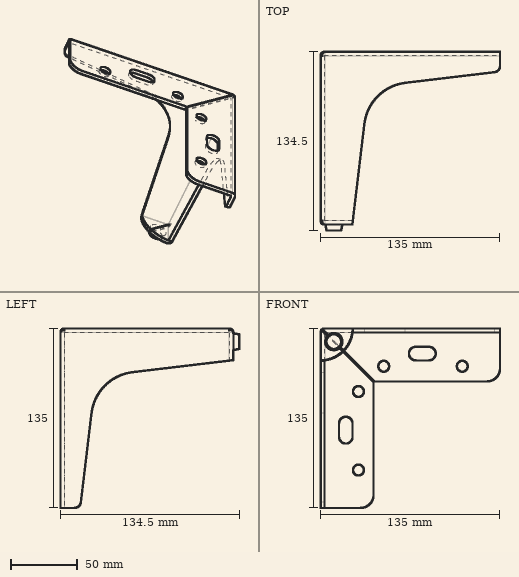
import cadquery as cq
import math

leg_length = 135.0
depth = 130.0
sheet = 3.0
bend_inside = 0.2
bend_outside = sheet + bend_inside

arm_end_width = 15.0
cap_radius = 24.0
arm_taper_angle = 6.8
arm_taper = math.tan(math.radians(arm_taper_angle))
arm_inner_radius = 35.0
arm_tip_radius = 5.0

flange_width = 40.0
flange_corner_radius = 10.0
screw_hole_diameter = 8.0
screw_hole_offset = 28.5
slot_length = 20.0
slot_width = 10.0
slot_middle = 76.5
slot_offset = 19.0
screw_hole_middle = 77.0
screw_hole_spacing = 59.0

mitre_gap = 0.5

button_center = 10.0
button_height = 4.5
button_base_diameter = 13.0
button_end_diameter = 11.0

MITRE_NORMAL = cq.Vector(1, 0, 1)


def on_both_legs(cutter):
    """Cutter of the top leg together with its mirror image on the side leg."""
    return cutter.add(cutter.mirror(MITRE_NORMAL)).combine()


def round_corner(body, x, y, z, radius):
    """Fillet the edge whose middle is nearest to the given point."""
    return body.edges(cq.selectors.NearestToPointSelector((x, y, z))).fillet(radius)


def corner_block(x_min, y_min, y_max, z_max, edge_radius):
    """Block reaching the leg ends, rounded where its left, top, front and back faces meet."""
    block = (
        cq.Workplane("XY", origin=(x_min, y_min, -leg_length))
        .box(leg_length - x_min, y_max - y_min, leg_length + z_max, centered=False)
    )
    left_edges = block.faces("<X").edges("not <Z")
    top_edges = block.faces(">Z").edges("not >X")
    return left_edges.add(top_edges).fillet(edge_radius)


def folded_sheet():
    """Top, side, back and front walls of one thickness, before trimming."""
    outside = corner_block(0, -depth, 0, 0, bend_outside)
    inside = corner_block(sheet, sheet - depth, -sheet, -sheet, bend_inside)
    return outside.cut(inside)


def arm_cutter():
    """Removes the top plate beyond its tapered, concave outline."""
    front_to_tip = depth - arm_end_width
    inner_x = (cap_radius + arm_taper * (front_to_tip - arm_taper * leg_length)) / (1 - arm_taper**2)
    inner_y = -arm_end_width - arm_taper * (leg_length - inner_x)
    cutter = (
        cq.Workplane("XY")
        .moveTo(cap_radius, -depth)
        .lineTo(inner_x, inner_y)
        .lineTo(leg_length, -arm_end_width)
        .lineTo(leg_length, -depth)
        .close()
        .extrude(-sheet)
    )
    return round_corner(cutter, inner_x, inner_y, -sheet / 2, arm_inner_radius)


def cap_cutter():
    """Removes the front wall outside the quarter-round cap, whose edge carries on the arm taper."""
    front = cq.Workplane("XZ", origin=(0, -depth, 0))
    wall = front.rect(2 * leg_length, 2 * leg_length).extrude(-bend_outside)
    cap = front.circle(cap_radius).extrude(-bend_outside, taper=-arm_taper_angle)
    return wall.cut(cap)


def back_cutter():
    """Removes the back wall inside the angle of the two flanges."""
    return (
        cq.Workplane("XZ")
        .moveTo(flange_width, -flange_width)
        .rect(leg_length, -leg_length, centered=False)
        .extrude(bend_outside)
    )


def flange_holes():
    """Two screw holes and a slot in the back flange of the top leg."""
    flange = cq.Workplane("XZ")
    half_spacing = screw_hole_spacing / 2
    hole_centers = [(screw_hole_middle + shift, -screw_hole_offset) for shift in (-half_spacing, half_spacing)]
    screw_holes = flange.pushPoints(hole_centers).circle(screw_hole_diameter / 2).extrude(sheet)
    slot = (
        flange.moveTo(slot_middle, -slot_offset)
        .slot2D(slot_length, slot_width)
        .extrude(sheet)
    )
    return screw_holes.add(slot).combine()


def mitre_cutter():
    """Diagonal gap through the front and back walls, including their bends."""
    reach = 2 * leg_length
    gaps = (
        cq.Workplane("XY")
        .pushPoints([(0, -bend_outside / 2), (0, bend_outside / 2 - depth)])
        .box(reach, bend_outside, mitre_gap)
    )
    return gaps.rotate((0, 0, 0), (0, 1, 0), 45)


def round_leg_ends(body):
    """Round the free corners of the arms and back flanges on both legs."""
    middle = sheet / 2
    body = round_corner(body, leg_length, -arm_end_width, -middle, arm_tip_radius)
    body = round_corner(body, middle, -arm_end_width, -leg_length, arm_tip_radius)
    body = round_corner(body, leg_length, -middle, -flange_width, flange_corner_radius)
    return round_corner(body, flange_width, -middle, -leg_length, flange_corner_radius)


def make_bracket():
    blank = folded_sheet().cut(on_both_legs(arm_cutter())).cut(cap_cutter()).cut(back_cutter())
    return round_leg_ends(blank).cut(on_both_legs(flange_holes())).cut(mitre_cutter())


def make_button():
    """Tapered round foot seated on the front cap."""
    return (
        cq.Workplane("XZ", origin=(button_center, -depth, -button_center))
        .circle(button_base_diameter / 2)
        .workplane(offset=button_height)
        .circle(button_end_diameter / 2)
        .loft()
    )


bracket = make_bracket()
button = make_button()

result = cq.Compound.makeCompound([bracket.val(), button.val()])